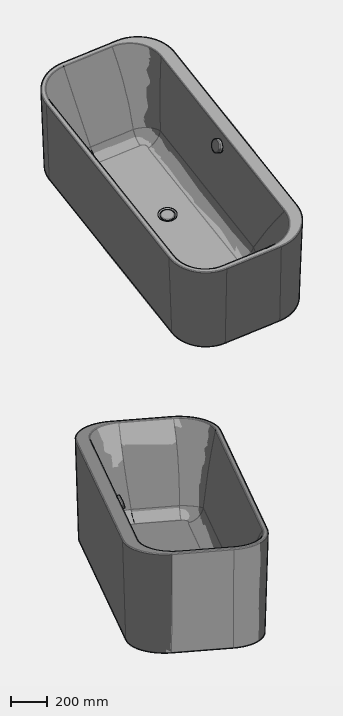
import cadquery as cq

LENGTH = 1800.0
WIDTH = 801.0
HEIGHT = 600.0
FOOT_INSET = 18.0
OUTER_CORNER_RADIUS = 230.0
EDGE_ROUND = 5.0

END_RIM = 29.0
FRONT_RIM = 29.0
BACK_RIM = 81.0
RIM_CORNER_RADIUS = 195.0
BASIN_LENGTH = LENGTH - 2 * END_RIM
BASIN_WIDTH = WIDTH - FRONT_RIM - BACK_RIM
BASIN_CENTER_Y = (FRONT_RIM - BACK_RIM) / 2
FLOOR_Z = 145.0
FLOOR_LENGTH = 1170.0
FLOOR_WIDTH = 465.0
FLOOR_CORNER_RADIUS = 105.0
FLOOR_FILLET = 90.0
BULGE_DEPTH = 0.45
BULGE_SHIFT = 0.53
BULGE_CORNER_RADIUS = 137.0

DOME_RISE = 2.7

DRAIN_RADIUS = 52.0
DRAIN_DEPTH = 10.0
FUNNEL_DEPTH = 4.0
PLUG_RADIUS = 41.0

CAP_RADIUS = 40.0
CAP_Y = 283.0
CAP_Z = 522.0
CAP_TILT = 22.0
CAP_PROUD = 10.0
CAP_SUNK = 18.0


def rounded_rectangle(length, width, radius, center_y, z):
    """Closed wire of a rounded rectangle lying at height z."""
    outline = cq.Sketch().rect(length, width).vertices().fillet(radius).reset()
    plane = cq.Workplane("XY", origin=(0, center_y, z))
    slab = plane.placeSketch(outline).extrude(HEIGHT)
    return slab.faces("<Z").val().outerWire()


def blend(start, end, share):
    """Value the given share of the way from start to end."""
    return start + (end - start) * share


def make_shell():
    foot = rounded_rectangle(
        LENGTH - 2 * FOOT_INSET, WIDTH - 2 * FOOT_INSET, OUTER_CORNER_RADIUS - FOOT_INSET, 0, 0
    )
    rim = rounded_rectangle(LENGTH, WIDTH, OUTER_CORNER_RADIUS, 0, HEIGHT)
    shell = cq.Workplane(cq.Solid.makeLoft([foot, rim], True))
    return shell.faces("<Z or >Z").edges().fillet(EDGE_ROUND)


def make_basin():
    """The hollow of the tub, bulging inward between rim and floor."""
    floor = rounded_rectangle(FLOOR_LENGTH, FLOOR_WIDTH, FLOOR_CORNER_RADIUS, BASIN_CENTER_Y, FLOOR_Z)
    bulge = rounded_rectangle(
        blend(BASIN_LENGTH, FLOOR_LENGTH, BULGE_SHIFT),
        blend(BASIN_WIDTH, FLOOR_WIDTH, BULGE_SHIFT),
        BULGE_CORNER_RADIUS,
        BASIN_CENTER_Y,
        blend(HEIGHT, FLOOR_Z, BULGE_DEPTH),
    )
    rim = rounded_rectangle(BASIN_LENGTH, BASIN_WIDTH, RIM_CORNER_RADIUS, BASIN_CENTER_Y, HEIGHT)
    basin = cq.Workplane(cq.Solid.makeLoft([floor, bulge, rim], False))
    return basin.faces("<Z").edges().fillet(FLOOR_FILLET)


def make_domed_disc(radius, height):
    """Upright disc with a rounded upper edge and a shallow dome; height excludes the dome."""
    dome_edge = radius - EDGE_ROUND
    dome_radius = (dome_edge ** 2 + DOME_RISE ** 2) / (2 * DOME_RISE)
    return (
        cq.Workplane("XZ")
        .lineTo(radius, 0)
        .lineTo(radius, height - EDGE_ROUND)
        .radiusArc((dome_edge, height), -EDGE_ROUND)
        .radiusArc((0, height + DOME_RISE), -dome_radius)
        .close()
        .revolve(360, (0, 0, 0), (0, 1, 0))
    )


def make_drain_opening():
    """Funnel in the floor that narrows to the blind hole holding the plug."""
    return (
        cq.Workplane("XZ", origin=(0, BASIN_CENTER_Y, FLOOR_Z))
        .lineTo(DRAIN_RADIUS, 0)
        .lineTo(PLUG_RADIUS, -FUNNEL_DEPTH)
        .lineTo(PLUG_RADIUS, -DRAIN_DEPTH)
        .lineTo(0, -DRAIN_DEPTH)
        .close()
        .revolve(360, (0, 0, 0), (0, 1, 0))
    )


def make_plug():
    plug = make_domed_disc(PLUG_RADIUS, DRAIN_DEPTH)
    return plug.translate((0, BASIN_CENTER_Y, FLOOR_Z - DRAIN_DEPTH))


def make_overflow_cap():
    cap = make_domed_disc(CAP_RADIUS, CAP_SUNK + CAP_PROUD)
    seated = cap.translate((0, 0, -CAP_SUNK))
    tilted = seated.rotate((0, 0, 0), (1, 0, 0), 90 - CAP_TILT)
    return tilted.translate((0, CAP_Y, CAP_Z))


def make_tub(overflow_cap):
    tub = make_shell().cut(make_basin())
    rim_face = tub.faces(">Z").val()
    tub = tub.newObject(rim_face.innerWires()[0].Edges()).fillet(EDGE_ROUND)
    return tub.cut(make_drain_opening()).cut(overflow_cap)


plug = make_plug()
overflow_cap = make_overflow_cap()
tub = make_tub(overflow_cap)

result = cq.Compound.makeCompound([tub.val(), plug.val(), overflow_cap.val()])